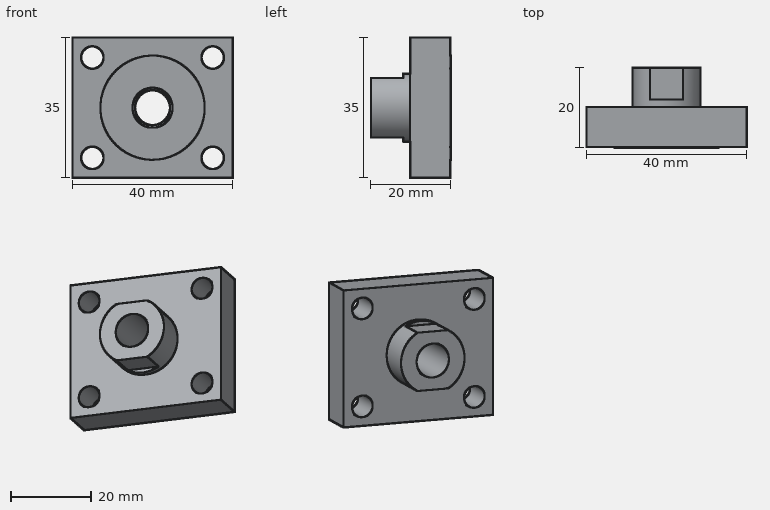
import cadquery as cq

plate_width = 40.0
plate_height = 35.0
plate_thickness = 10.0

total_depth = 20.0

pad_diameter = 26.0
pad_height = 0.2

boss_diameter = 17.0
boss_length = total_depth - plate_thickness - pad_height
flat_distance = 14.9
flat_length = 8.0

bore_diameter = 8.65
bore_mouth_diameter = 10.0
bore_chamfer = (bore_mouth_diameter - bore_diameter) / 2

mount_diameter = 5.5
mount_spacing_x = 30.0
mount_spacing_z = 25.0

pad_front = -pad_height
boss_end = plate_thickness + boss_length


def cylinder_along_y(diameter, start, end):
    """Cylinder about the Y axis between two Y positions."""
    profile = cq.Workplane("XZ", origin=(0, start, 0)).circle(diameter / 2)
    return profile.extrude(start - end)


def make_plate():
    plate = cq.Workplane("XY").box(plate_width, plate_thickness, plate_height)
    plate = plate.translate((0, plate_thickness / 2, 0))
    holes = (
        cq.Workplane("XZ")
        .rarray(mount_spacing_x, mount_spacing_z, 2, 2)
        .circle(mount_diameter / 2)
        .extrude(-plate_thickness)
    )
    return plate.cut(holes)


def make_boss():
    boss = cylinder_along_y(boss_diameter, plate_thickness, boss_end)
    flat_start = boss_end - flat_length
    between_flats = (
        cq.Workplane("XY")
        .box(boss_diameter, flat_length, flat_distance)
        .translate((0, flat_start + flat_length / 2, 0))
    )
    round_base = cylinder_along_y(boss_diameter, plate_thickness, flat_start)
    return boss.intersect(between_flats).union(round_base)


def make_bore():
    """Bore cutter whose front end flares at 45 degrees to the mouth diameter."""
    bore_radius = bore_diameter / 2
    half_section = [
        (0, pad_front),
        (bore_mouth_diameter / 2, pad_front),
        (bore_radius, pad_front + bore_chamfer),
        (bore_radius, boss_end),
        (0, boss_end),
    ]
    section = cq.Workplane("XY").polyline(half_section).close()
    return section.revolve(360, (0, 0, 0), (0, 1, 0))


pad = cylinder_along_y(pad_diameter, pad_front, 0)
result = make_plate().union(pad).union(make_boss()).cut(make_bore())